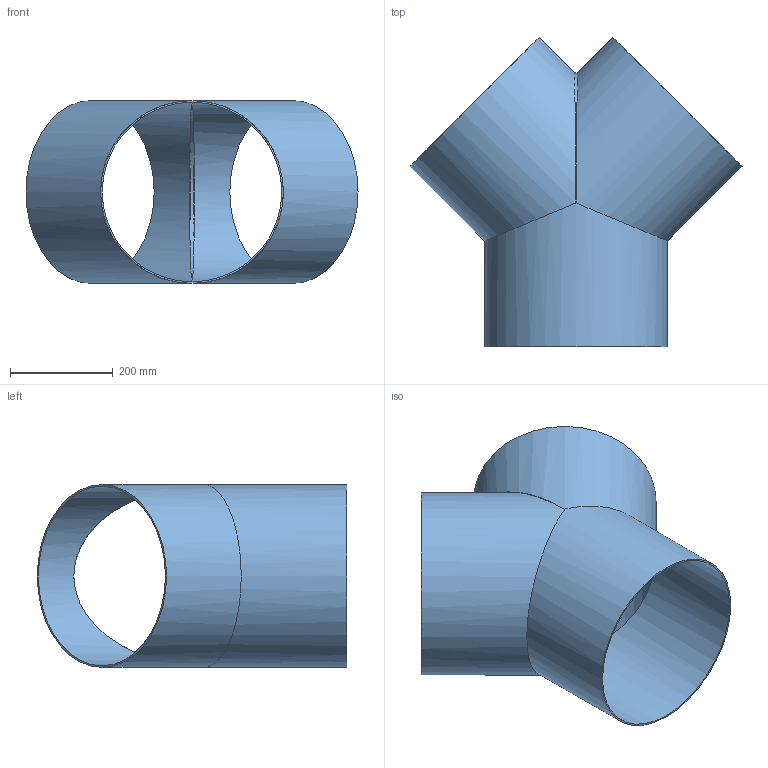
import cadquery as cq
import math

outer_diameter = 355.6
wall = 3.0
leg_length = 279.0
branch_angle = 45.0

outer_radius = outer_diameter / 2
inner_radius = outer_radius - wall

main_heading = -90.0
right_heading = 90.0 - branch_angle
left_heading = 90.0 + branch_angle
crotch_heading = 90.0
right_mitre = (main_heading + right_heading) / 2
left_mitre = 180.0 - right_mitre

legs = (
    (main_heading, left_mitre - 360.0, right_mitre),
    (right_heading, right_mitre, crotch_heading),
    (left_heading, crotch_heading, left_mitre),
)

branch_sine = math.sin(math.radians(branch_angle))
branch_tangent = math.tan(math.radians(branch_angle))
outer_strip_width = 5.0
inner_strip_width = outer_strip_width + 2 * wall * math.cos(math.radians(branch_angle))
outer_crotch_reach = outer_radius / branch_sine + outer_strip_width / 2 / branch_tangent
inner_crotch_reach = inner_radius / branch_sine + inner_strip_width / 2 / branch_tangent

wedge_reach = 3 * leg_length

filling_half_angle = math.degrees(math.atan(inner_strip_width / inner_crotch_reach))


def heading_vector(heading):
    angle = math.radians(heading)
    return cq.Vector(math.cos(angle), math.sin(angle), 0)


def wedge(middle_heading, first_heading, last_heading):
    """Tall wedge between two vertical planes, with its sharp edge on the Z axis."""
    corners = [cq.Vector(0, 0, 0)]
    for heading in (first_heading, middle_heading, last_heading):
        corners.append(heading_vector(heading) * wedge_reach)
    return cq.Workplane("XY").polyline(corners).close().extrude(outer_diameter, both=True)


def leg_rod(radius, heading, first_mitre, last_mitre):
    """Round rod along a leg axis, trimmed at the leg's two mitre planes."""
    axis = heading_vector(heading)
    rod = cq.Solid.makeCylinder(radius, 2 * leg_length, axis * -leg_length, axis)
    return wedge(heading, first_mitre, last_mitre).intersect(cq.Workplane(rod))


def crotch_filling(radius, reach):
    """Thin wedge along +Y with an elliptic profile, as tall as the legs."""
    profile = cq.Workplane("YZ", origin=(-outer_radius, 0, 0)).ellipse(reach, radius)
    slab = profile.extrude(outer_diameter)
    first_side = crotch_heading - filling_half_angle
    last_side = crotch_heading + filling_half_angle
    return slab.intersect(wedge(crotch_heading, first_side, last_side))


def wye(radius, crotch_reach):
    """Solid wye with the given leg radius and the crotch filled out to the given reach."""
    body = crotch_filling(radius, crotch_reach)
    for leg in legs:
        body = body.union(leg_rod(radius, *leg))
    return body


outer_body = wye(outer_radius, outer_crotch_reach)
bore = wye(inner_radius, inner_crotch_reach)
result = outer_body.cut(bore)